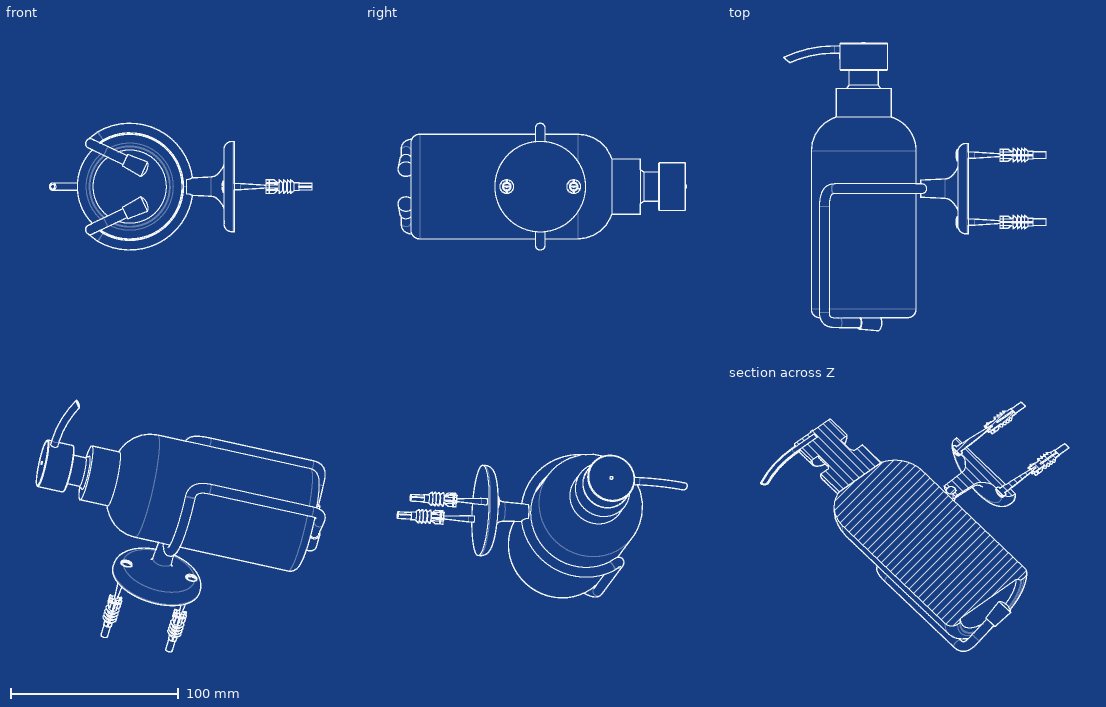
import cadquery as cq
import math


BOTTLE_R = 31.3
SHOULDER_Y = 99.7
SHOULDER_ARC_R = 21.2
BASE_FILLET = 5.3
BASE_RECESS_R = 24.0
BASE_RECESS_DEPTH = 2.2
RECESS_FLOOR_R = 21.9
RECESS_RIM_FILLET = 0.7

COLLAR_R = 16.5
COLLAR_TOP_Y = 136.9
NECK_FLARE_R = 10.2
NECK_FLARE_HEIGHT = 2.0
NECK_R = 8.8
HEAD_R = 14.3
HEAD_BOTTOM_Y = 147.7
HEAD_TOP_Y = 164.0
HEAD_EDGE = 0.5
NUB_R = 0.9
NUB_HEIGHT = 0.5

SPOUT_R = 2.2
SPOUT_BORE_R = 1.4
SPOUT_Y = 160.1
SPOUT_STRAIGHT_END_X = -17.5
SPOUT_BEND_R = 66.8
SPOUT_TIP_X = -46.0
SPOUT_CUT_ANGLE = 39.0
SPOUT_OVERRUN = 5.0
SPOUT_BEND_ANGLE = math.asin((SPOUT_STRAIGHT_END_X - SPOUT_TIP_X) / SPOUT_BEND_R)

WIRE_R = 3.0
RING_R = 35.0
RING_Y = 77.1
RING_END_ANGLE = 120.0
LEG_X = -23.5
LEG_Z = 25.7
LEG_TOP_Y = 66.5
LEG_BOTTOM_Y = 3.3
FOOT_Y = -3.0
FOOT_SLOPE = 25.5
FOOT_BEND_LENGTH = 10.2
SLEEVE_START = 22.9
SLEEVE_LENGTH = 12.5
SLEEVE_START_R = 3.8
SLEEVE_END_R = 4.8
SLEEVE_DOME = 1.7
SLEEVE_WALL = 1.7

STEM_START_X = 34.0
STEM_START_R = 5.2
STEM_END_X = 48.5
STEM_END_R = 5.9
FLARE_MID_X = 52.7
FLARE_MID_R = 7.7
DISH_INNER_X = 55.3
DISH_INNER_R = 11.0
DISH_X = 56.1
DISH_R = 22.0
WALL_X = 62.5
DISC_R = 27.0
DISC_EDGE = 0.9

SCREW_OFFSET = 20.0
SCREW_HEAD_R = 3.5
SCREW_HEAD_X = 55.8
SCREW_DOME = 0.9
SCREW_HEAD_DEPTH = 2.0
SCREW_SLOT_WIDTH = 0.9
SCREW_SLOT_DEPTH = 1.0
SHANK_R = 1.9
SHANK_END_X = 66.1
SCREW_TIP_X = 84.4
SCREW_TIP_R = 0.7

PLUG_X = 81.3
PLUG_END_X = 108.8
PLUG_R = 2.4
PLUG_NOSE_R = 2.0
PLUG_NOSE_X = 100.9
BARB_STARTS = (89.2, 91.8, 94.0, 96.0)
BARB_R = 4.1
BARB_ROOT_R = 2.5
BARB_LENGTH = 1.9
FIN_COUNT = 6
FIN_R = 4.1
FIN_THICKNESS = 0.7
FIN_END_X = 86.1
FIN_FOOT_X = 88.2
FIN_RIB_X = 83.0
FIN_RIB_R = 3.6
FIN_RIB_THICKNESS = 0.5
SLIT_WIDTH = 0.5


def dome_radius(rim_radius, height):
    """Sphere radius of a dome with the given rim radius and height."""
    return (rim_radius**2 + height**2) / (2 * height)


def shoulder_height(radius):
    """Height above SHOULDER_Y of the shoulder arc at the given radius."""
    return math.sqrt(SHOULDER_ARC_R**2 - (radius - (BOTTLE_R - SHOULDER_ARC_R)) ** 2)


COLLAR_BOTTOM_Y = SHOULDER_Y + shoulder_height(COLLAR_R)


def make_bottle():
    shoulder_mid_r = (BOTTLE_R + COLLAR_R) / 2
    profile = (
        cq.Workplane("XY")
        .moveTo(0, 0)
        .lineTo(BOTTLE_R, 0)
        .lineTo(BOTTLE_R, SHOULDER_Y)
        .threePointArc(
            (shoulder_mid_r, SHOULDER_Y + shoulder_height(shoulder_mid_r)),
            (COLLAR_R, COLLAR_BOTTOM_Y),
        )
        .lineTo(0, COLLAR_BOTTOM_Y)
        .close()
    )
    body = profile.revolve(360, (0, 0, 0), (0, 1, 0)).faces("<Y").edges().fillet(BASE_FILLET)
    recess = cq.Solid.makeCone(
        BASE_RECESS_R, RECESS_FLOOR_R, BASE_RECESS_DEPTH, cq.Vector(0, 0, 0), cq.Vector(0, 1, 0)
    )
    body = body.cut(cq.Workplane(recess))
    rim = cq.selectors.RadiusNthSelector(0)
    return body.faces("<Y").edges(rim).fillet(RECESS_RIM_FILLET)


def make_spout(radius):
    """Curved rod along the spout path, starting on the pump axis."""
    centre_y = SPOUT_Y - SPOUT_BEND_R
    sweep_angle = SPOUT_BEND_ANGLE + math.radians(SPOUT_OVERRUN)

    def bend_point(angle):
        return (
            SPOUT_STRAIGHT_END_X - SPOUT_BEND_R * math.sin(angle),
            centre_y + SPOUT_BEND_R * math.cos(angle),
        )

    path = (
        cq.Workplane("XY")
        .moveTo(0, SPOUT_Y)
        .lineTo(SPOUT_STRAIGHT_END_X, SPOUT_Y)
        .threePointArc(bend_point(sweep_angle / 2), bend_point(sweep_angle))
    )
    return cq.Workplane("YZ", origin=(0, SPOUT_Y, 0)).circle(radius).sweep(path)


def make_spout_tip_cutter():
    """Block whose one face is the slanted tip face of the spout."""
    tip_y = SPOUT_Y - SPOUT_BEND_R * (1 - math.cos(SPOUT_BEND_ANGLE))
    size = 6 * SPOUT_R
    block = cq.Workplane("XY").box(size, size, size, centered=(True, False, True))
    block = block.rotate((0, 0, 0), (0, 0, 1), 180 - SPOUT_CUT_ANGLE)
    return block.translate((SPOUT_TIP_X, tip_y, 0))


def make_pump():
    flare_top = COLLAR_TOP_Y + NECK_FLARE_HEIGHT
    profile = (
        cq.Workplane("XY")
        .moveTo(0, COLLAR_BOTTOM_Y)
        .lineTo(COLLAR_R, COLLAR_BOTTOM_Y)
        .lineTo(COLLAR_R, COLLAR_TOP_Y)
        .lineTo(NECK_FLARE_R, COLLAR_TOP_Y)
        .lineTo(NECK_R, flare_top)
        .lineTo(NECK_R, HEAD_BOTTOM_Y)
        .lineTo(HEAD_R - HEAD_EDGE, HEAD_BOTTOM_Y)
        .lineTo(HEAD_R, HEAD_BOTTOM_Y + HEAD_EDGE)
        .lineTo(HEAD_R, HEAD_TOP_Y - HEAD_EDGE)
        .lineTo(HEAD_R - HEAD_EDGE, HEAD_TOP_Y)
        .lineTo(NUB_R, HEAD_TOP_Y)
        .lineTo(NUB_R, HEAD_TOP_Y + NUB_HEIGHT)
        .lineTo(0, HEAD_TOP_Y + NUB_HEIGHT)
        .close()
    )
    body = profile.revolve(360, (0, 0, 0), (0, 1, 0))
    body = body.union(make_spout(SPOUT_R))
    return body.cut(make_spout(SPOUT_BORE_R)).cut(make_spout_tip_cutter())


def foot_point(side, distance):
    """Point on a foot axis at a distance from the leg axis, on side +1 or -1 in Z."""
    slope = math.radians(FOOT_SLOPE)
    return cq.Vector(
        LEG_X + distance * math.cos(slope),
        FOOT_Y,
        side * (LEG_Z - distance * math.sin(slope)),
    )


def foot_direction(side):
    return (foot_point(side, 1.7) - foot_point(side, 0)).normalized()


def ring_point(angle):
    angle = math.radians(angle)
    return cq.Vector(RING_R * math.cos(angle), RING_Y, RING_R * math.sin(angle))


def make_half_wire(side):
    """Half of the wire: ring from +X to its end, bend, leg, bend and foot."""
    ring_end = ring_point(side * RING_END_ANGLE)
    leg_top = cq.Vector(LEG_X, LEG_TOP_Y, side * LEG_Z)
    leg_bottom = cq.Vector(LEG_X, LEG_BOTTOM_Y, side * LEG_Z)
    foot_start = foot_point(side, FOOT_BEND_LENGTH)
    foot_end = foot_point(side, SLEEVE_START + SLEEVE_LENGTH - SLEEVE_WALL)
    down = cq.Vector(0, -1, 0)
    level = cq.Vector(leg_top.x - ring_end.x, 0, leg_top.z - ring_end.z).normalized()

    ring = cq.Edge.makeThreePointArc(ring_point(0), ring_point(side * RING_END_ANGLE / 2), ring_end)
    upper_bend = cq.Edge.makeSpline([ring_end, leg_top], tangents=[level, down])
    leg = cq.Edge.makeLine(leg_top, leg_bottom)
    lower_bend = cq.Edge.makeSpline([leg_bottom, foot_start], tangents=[down, foot_direction(side)])
    foot = cq.Edge.makeLine(foot_start, foot_end)

    ring_section = cq.Workplane("XY", origin=ring_point(0).toTuple()).circle(WIRE_R)
    half_ring = ring_section.sweep(cq.Workplane(cq.Wire.assembleEdges([ring])))
    lower_path = cq.Wire.assembleEdges([upper_bend, leg, lower_bend, foot])
    section_plane = cq.Plane(origin=ring_end, xDir=(0, 1, 0), normal=level)
    lower = cq.Workplane(section_plane).circle(WIRE_R).sweep(cq.Workplane(lower_path))
    elbow = cq.Workplane("XY").sphere(WIRE_R).translate(ring_end)
    return half_ring.union(elbow).union(lower)


def make_wire_holder():
    return make_half_wire(1).union(make_half_wire(-1))


def make_sleeve(side):
    """Flared end sleeve with a domed end, bored to fit over the end of the wire."""
    across = foot_direction(side).cross(cq.Vector(0, 1, 0))
    profile_plane = cq.Plane(origin=foot_point(side, SLEEVE_START), xDir=(0, 1, 0), normal=across * -1)
    wire_depth = SLEEVE_LENGTH - SLEEVE_WALL
    dome_r = dome_radius(SLEEVE_END_R, SLEEVE_DOME)
    half_angle = math.asin(SLEEVE_END_R / dome_r) / 2
    dome_mid = (
        dome_r * math.sin(half_angle),
        SLEEVE_LENGTH + SLEEVE_DOME - dome_r * (1 - math.cos(half_angle)),
    )
    return (
        cq.Workplane(profile_plane)
        .moveTo(WIRE_R, 0)
        .lineTo(SLEEVE_START_R, 0)
        .lineTo(SLEEVE_END_R, SLEEVE_LENGTH)
        .threePointArc(dome_mid, (0, SLEEVE_LENGTH + SLEEVE_DOME))
        .lineTo(0, wire_depth)
        .lineTo(WIRE_R, wire_depth)
        .close()
        .revolve(360, (0, 0, 0), (0, 1, 0))
    )


def make_screw(y):
    """Screw on an axis along X: slotted domed head, shank and tapered point."""
    head_end = SCREW_HEAD_X + SCREW_HEAD_DEPTH
    dome_r = dome_radius(SCREW_HEAD_R, SCREW_DOME)
    half_angle = math.asin(SCREW_HEAD_R / dome_r) / 2
    dome_mid = (
        SCREW_HEAD_X - SCREW_DOME + dome_r * (1 - math.cos(half_angle)),
        dome_r * math.sin(half_angle),
    )
    screw = (
        cq.Workplane("XY")
        .moveTo(SCREW_HEAD_X - SCREW_DOME, 0)
        .threePointArc(dome_mid, (SCREW_HEAD_X, SCREW_HEAD_R))
        .lineTo(head_end, SCREW_HEAD_R)
        .lineTo(head_end, SHANK_R)
        .lineTo(SHANK_END_X, SHANK_R)
        .lineTo(SCREW_TIP_X, SCREW_TIP_R)
        .lineTo(SCREW_TIP_X, 0)
        .close()
        .revolve(360, (0, 0, 0), (1, 0, 0))
    )
    return screw.translate((0, y, 0))


def make_screw_slot(y):
    slot = cq.Workplane("XY").box(
        SCREW_SLOT_DEPTH, 2 * SCREW_HEAD_R, SCREW_SLOT_WIDTH, centered=(False, True, True)
    )
    return slot.translate((SCREW_HEAD_X - SCREW_DOME, y, 0))


def make_wall_mount():
    """Turned stem and disc, with holes for the wire ring and the two screws."""
    flare_mid = (FLARE_MID_X, FLARE_MID_R)
    rim_start = (DISH_X, DISH_R)
    band_x = WALL_X - DISC_EDGE
    mount = (
        cq.Workplane("XY")
        .moveTo(STEM_START_X, 0)
        .lineTo(STEM_START_X, STEM_START_R)
        .lineTo(STEM_END_X, STEM_END_R)
        .spline(
            [flare_mid, (DISH_INNER_X, DISH_INNER_R), rim_start],
            includeCurrent=True,
            tangents=[(STEM_END_X - STEM_START_X, STEM_END_R - STEM_START_R), (0, 1)],
        )
        .tangentArcPoint((band_x, DISC_R), relative=False)
        .lineTo(WALL_X, DISC_R)
        .lineTo(WALL_X, 0)
        .close()
        .revolve(360, (0, 0, 0), (1, 0, 0))
        .translate((0, RING_Y, 0))
    )
    ring_hole = cq.Solid.makeTorus(RING_R, WIRE_R, cq.Vector(0, RING_Y, 0), cq.Vector(0, 1, 0))
    return mount.cut(cq.Workplane(ring_hole))


def disc(x, length, radius):
    return cq.Workplane("YZ", origin=(x, 0, 0)).circle(radius).extrude(length)


def make_plug(y):
    """Wall plug on an axis along X: finned collar, barbed slit body and split nose."""
    plug = disc(PLUG_X, PLUG_NOSE_X - PLUG_X, PLUG_R)
    plug = plug.union(disc(PLUG_NOSE_X, PLUG_END_X - PLUG_NOSE_X, PLUG_NOSE_R))
    plug = plug.union(disc(FIN_RIB_X, FIN_RIB_THICKNESS, FIN_RIB_R))
    fin = (
        cq.Workplane("XZ")
        .moveTo(PLUG_X, 0)
        .lineTo(PLUG_X, FIN_R)
        .lineTo(FIN_END_X, FIN_R)
        .lineTo(FIN_FOOT_X, PLUG_R)
        .lineTo(FIN_FOOT_X, 0)
        .close()
        .extrude(FIN_THICKNESS / 2, both=True)
    )
    for index in range(FIN_COUNT):
        plug = plug.union(fin.rotate((0, 0, 0), (1, 0, 0), index * 360 / FIN_COUNT))
    for start in BARB_STARTS:
        root = cq.Vector(start, 0, 0)
        barb = cq.Solid.makeCone(BARB_R, BARB_ROOT_R, BARB_LENGTH, root, cq.Vector(1, 0, 0))
        plug = plug.union(cq.Workplane(barb))
    body_slit = cq.Workplane("XY").box(
        PLUG_NOSE_X - FIN_FOOT_X, SLIT_WIDTH, 2 * FIN_R, centered=(False, True, True)
    )
    nose_slit = cq.Workplane("XY").box(
        PLUG_END_X - PLUG_NOSE_X, 2 * FIN_R, SLIT_WIDTH, centered=(False, True, True)
    )
    plug = plug.cut(body_slit.translate((FIN_FOOT_X, 0, 0)))
    plug = plug.cut(nose_slit.translate((PLUG_NOSE_X, 0, 0)))
    return plug.translate((0, y, 0))


bottle = make_bottle()
pump = make_pump()
wire_holder = make_wire_holder()
wall_mount = make_wall_mount()
sleeves = [make_sleeve(side) for side in (1, -1)]
screws = []
plugs = []
for side in (1, -1):
    screw_y = RING_Y + side * SCREW_OFFSET
    solid_screw = make_screw(screw_y)
    wall_mount = wall_mount.cut(solid_screw)
    plugs.append(make_plug(screw_y).cut(solid_screw))
    screws.append(solid_screw.cut(make_screw_slot(screw_y)))

result = cq.Compound.makeCompound(
    [
        bottle.val(),
        pump.val(),
        wire_holder.val(),
        wall_mount.val(),
        *[sleeve.val() for sleeve in sleeves],
        *[screw.val() for screw in screws],
        *[plug.val() for plug in plugs],
    ]
)